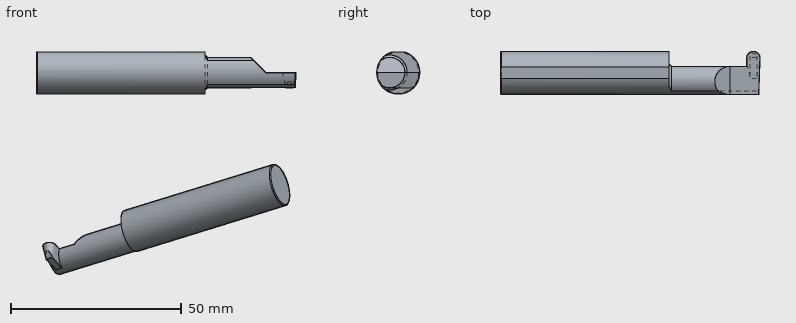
import cadquery as cq

total_length = 76.2
shank_length = 49.5
shank_radius = 6.3
shank_flat_height = 6.1
rear_chamfer = 0.3

neck_diameter = 8.9
neck_radius = neck_diameter / 2
neck_center_y = -2.5
neck_root_size = 0.7
neck_root_angle = 45.0

face_height = 0.0
face_start = 67.35
hook_width = 4.0
end_relief = 0.4
hook_clearance_angle = 12.0
nose_radius = hook_width / 2
nose_center_y = shank_radius - nose_radius
hook_start = total_length - hook_width


def x_cylinder(radius, start, end, center_y=0.0):
    """Cylinder along X between two stations."""
    return cq.Workplane("YZ", origin=(start, center_y, 0)).circle(radius).extrude(end - start)


def make_shank():
    """Round shank with a chamfered rear edge and a flat along its top."""
    shank = x_cylinder(shank_radius, 0, shank_length).faces("<X").chamfer(rear_chamfer)
    flat_cut = cq.Workplane("XY", origin=(0, 0, shank_flat_height)).box(
        2 * shank_length, 2 * shank_radius, shank_radius, centered=(True, True, False)
    )
    return shank.cut(flat_cut)


def make_neck():
    """Offset neck with a conical root where it leaves the shank."""
    neck = x_cylinder(neck_radius, shank_length, total_length, neck_center_y)
    root = (
        cq.Workplane("YZ", origin=(shank_length, neck_center_y, 0))
        .circle(neck_radius + neck_root_size)
        .extrude(neck_root_size, taper=neck_root_angle)
    )
    return neck.union(root)


def make_hook():
    """Hook reaching out to +Y, narrowing with clearance below the cutting face."""
    return (
        cq.Workplane("XY", origin=(0, 0, face_height))
        .moveTo(hook_start, neck_center_y)
        .lineTo(hook_start, nose_center_y)
        .threePointArc((hook_start + nose_radius, shank_radius), (total_length, nose_center_y))
        .lineTo(total_length, neck_center_y)
        .close()
        .extrude(-neck_radius, taper=hook_clearance_angle)
    )


def make_face_cut():
    """Material above the cutting face, ending in a 45 degree slope."""
    return (
        cq.Workplane("XZ")
        .moveTo(face_start, face_height)
        .lineTo(total_length, face_height)
        .lineTo(total_length, shank_radius)
        .lineTo(face_start - (shank_radius - face_height), shank_radius)
        .close()
        .extrude(shank_radius, both=True)
    )


def make_end_relief():
    """Thin wedge that slopes the end face back towards -Y."""
    return (
        cq.Workplane("XY")
        .moveTo(total_length, nose_center_y)
        .lineTo(total_length, -shank_radius)
        .lineTo(total_length - end_relief, -shank_radius)
        .close()
        .extrude(shank_radius, both=True)
    )


envelope = x_cylinder(shank_radius, shank_length, total_length)
head = make_neck().cut(make_face_cut()).union(make_hook()).intersect(envelope).cut(make_end_relief())
result = make_shank().union(head)